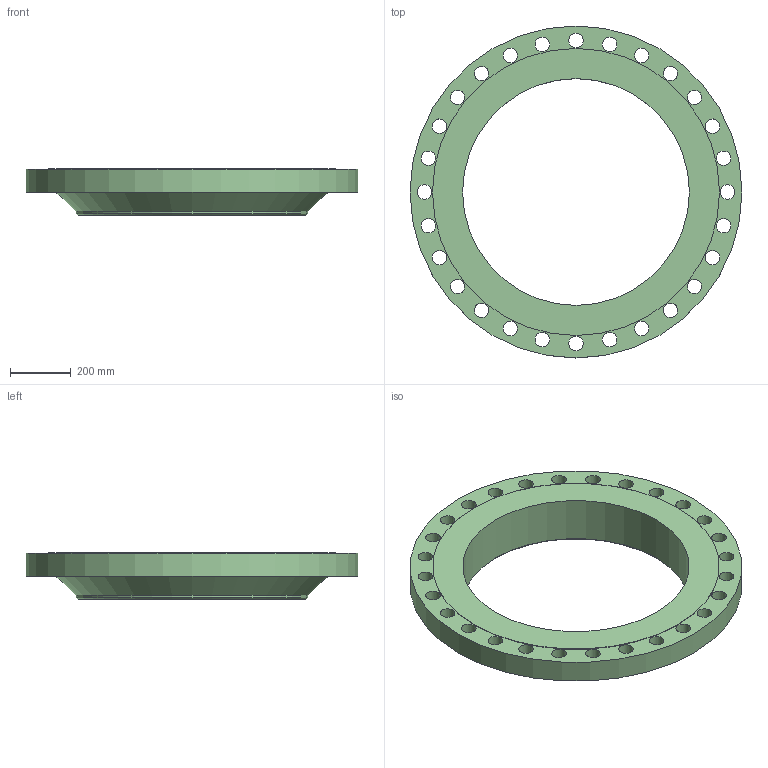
import cadquery as cq

flange_diameter = 1092.2
overall_height = 153.99
raised_face_diameter = 944.5
raised_face_height = 1.59
flange_thickness = 76.2

bore_diameter = 746.2
hub_base_diameter = 895.0
pipe_diameter = 762.0
pipe_land_height = 7.5
bevel_height = 5.5
bevel_width = 6.5

bolt_hole_count = 28
bolt_hole_diameter = 47.8
bolt_circle_diameter = 997.0

flange_top = overall_height - raised_face_height
flange_bottom = flange_top - flange_thickness
land_bottom = bevel_height
land_top = land_bottom + pipe_land_height


def make_body():
    """Revolve the half section of the flange, hub and pipe end about Z."""
    bore_radius = bore_diameter / 2
    flange_radius = flange_diameter / 2
    raised_face_radius = raised_face_diameter / 2
    pipe_radius = pipe_diameter / 2
    section = [
        (bore_radius, 0),
        (pipe_radius - bevel_width, 0),
        (pipe_radius, land_bottom),
        (pipe_radius, land_top),
        (hub_base_diameter / 2, flange_bottom),
        (flange_radius, flange_bottom),
        (flange_radius, flange_top),
        (raised_face_radius, flange_top),
        (raised_face_radius, overall_height),
        (bore_radius, overall_height),
    ]
    return cq.Workplane("XZ").polyline(section).close().revolve(360, (0, 0), (0, 1))


def make_bolt_holes():
    """Cylinders on the bolt circle, the first one on the +X axis."""
    return (
        cq.Workplane("XY")
        .workplane(offset=flange_bottom)
        .polarArray(bolt_circle_diameter / 2, 0, 360, bolt_hole_count)
        .circle(bolt_hole_diameter / 2)
        .extrude(overall_height - flange_bottom)
    )


result = make_body().cut(make_bolt_holes())